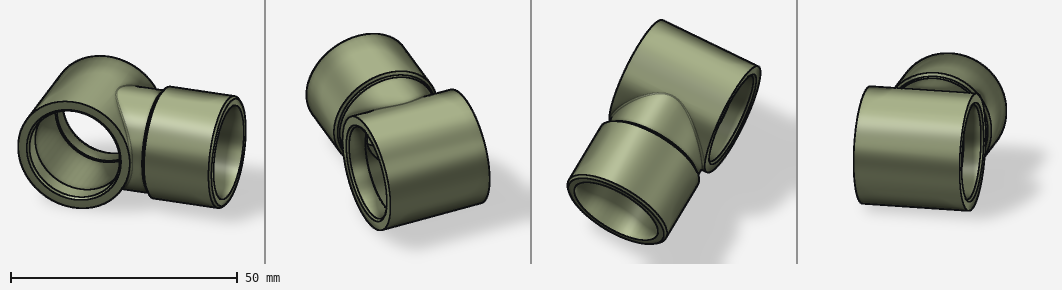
import cadquery as cq

ring_radius = 13.0
ring_length = 24.0
bore_radius = 10.9
lip_radius = 10.5
lip_length = 4.4
mouth_chamfer = 0.5

neck_radius = 11.48
socket_radius = 12.5
branch_end = 45 - ring_radius
socket_start = 16.5
shoulder_length = 0.4
shoulder_foot_radius = 11.8
shoulder_blend_length = 0.45
end_chamfer = 0.55
root_fillet = 0.45

socket_bore_radius = 10.5
socket_bore_depth = 16.0
passage_radius = 7.0


def cylinder_along_x(radius, start, end):
    return cq.Workplane("YZ").workplane(offset=start).circle(radius).extrude(end - start)


def cylinder_along_y(radius, length):
    return cq.Workplane("XZ").circle(radius).extrude(length / 2, both=True)


def socket_body():
    """Revolved socket with a two-slope conical shoulder and a chamfered end."""
    foot_x = socket_start - shoulder_length
    blend_x = foot_x - shoulder_blend_length
    return (
        cq.Workplane("XY")
        .moveTo(blend_x, 0)
        .lineTo(blend_x, neck_radius)
        .lineTo(foot_x, shoulder_foot_radius)
        .lineTo(socket_start, socket_radius)
        .lineTo(branch_end - end_chamfer, socket_radius)
        .lineTo(branch_end, socket_radius - end_chamfer)
        .lineTo(branch_end, 0)
        .close()
        .revolve(360, (0, 0, 0), (1, 0, 0))
    )


def ring_bore():
    """Through bore with a narrower lip and a chamfered mouth at each end."""
    half_length = ring_length / 2
    mouth_radius = lip_radius + mouth_chamfer
    return (
        cq.Workplane("XY")
        .moveTo(0, -half_length)
        .lineTo(mouth_radius, -half_length)
        .lineTo(lip_radius, mouth_chamfer - half_length)
        .lineTo(lip_radius, lip_length - half_length)
        .lineTo(bore_radius, lip_length - half_length)
        .lineTo(bore_radius, half_length - lip_length)
        .lineTo(lip_radius, half_length - lip_length)
        .lineTo(lip_radius, half_length - mouth_chamfer)
        .lineTo(mouth_radius, half_length)
        .lineTo(0, half_length)
        .close()
        .revolve(360, (0, 0, 0), (0, 1, 0))
    )


ring = cylinder_along_y(ring_radius, ring_length)
neck_end = socket_start - shoulder_length - shoulder_blend_length
tee = ring.union(cylinder_along_x(neck_radius, 0, neck_end))
joint = cq.selectors.BoxSelector(
    (0.45, -ring_length / 2 + 0.05, -ring_radius),
    (neck_end - 0.45, ring_length / 2 - 0.05, ring_radius),
)
tee = tee.edges(joint).edges("%BSPLINE or %OTHER").fillet(root_fillet)

tee = tee.union(socket_body())
passage = cylinder_along_x(passage_radius, 0, branch_end)
socket_bore = cylinder_along_x(socket_bore_radius, branch_end - socket_bore_depth, branch_end)

result = tee.cut(ring_bore()).cut(passage).cut(socket_bore)